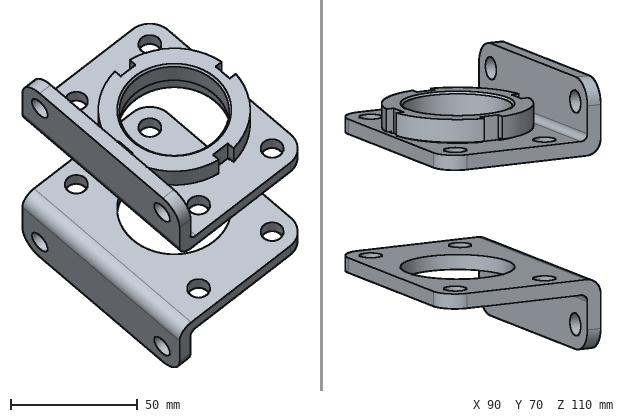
import cadquery as cq

total_height = 110.0
width = 90.0
depth = 70.0
flange_height = 30.0

thickness = 6.0
inner_bend_radius = 2.9
outer_bend_radius = 6.4
corner_radius = 9.8
bolt_diameter = 9.0
bolt_inset = 10.0
plate_bolt_spacing = 40.0
plate_bore_diameter = 45.1
bore_inset = 30.0

nut_diameter = 60.0
nut_bore_diameter = 43.3
nut_height = 10.0
nut_mouth_chamfer = (plate_bore_diameter - nut_bore_diameter) / 2
nut_base_diameter = 55.5
nut_base_height = 0.8
slot_count = 4
slot_width = 8.0
slot_floor_radius = 26.4

back_y = bore_inset
front_y = back_y - depth
flange_top_z = total_height / 2
plate_bottom_z = flange_top_z - flange_height
plate_top_z = plate_bottom_z + thickness
bolt_x = width / 2 - bolt_inset
plate_bolt_back_y = back_y - bolt_inset
plate_bolt_front_y = plate_bolt_back_y - plate_bolt_spacing
flange_bolt_z = flange_top_z - bolt_inset


def bent_sheet():
    """L-shaped sheet: a horizontal plate with an upright flange at its front."""
    plate = cq.Workplane("XY").box(width, depth, thickness, centered=(True, False, False))
    flange = cq.Workplane("XY").box(width, thickness, flange_height, centered=(True, False, False))
    sheet = plate.union(flange).translate((0, front_y, plate_bottom_z))
    inner_corner = cq.NearestToPointSelector((0, front_y + thickness, plate_top_z))
    outer_corner = cq.NearestToPointSelector((0, front_y, plate_bottom_z))
    sheet = sheet.edges("|X").edges(inner_corner).fillet(inner_bend_radius)
    sheet = sheet.edges("|X").edges(outer_corner).fillet(outer_bend_radius)
    sheet = sheet.faces(">Y").edges("|Z").fillet(corner_radius)
    return sheet.faces(">Z").edges("|Y").fillet(corner_radius)


def make_bracket():
    """Upper bracket with its bolt holes and the large bore."""
    plate_bolts = [(x, y) for x in (-bolt_x, bolt_x) for y in (plate_bolt_front_y, plate_bolt_back_y)]
    flange_bolts = [(-bolt_x, flange_bolt_z), (bolt_x, flange_bolt_z)]
    plate_plane = cq.Workplane("XY").workplane(offset=plate_bottom_z)
    plate_holes = plate_plane.pushPoints(plate_bolts).circle(bolt_diameter / 2).extrude(thickness)
    bore = plate_plane.circle(plate_bore_diameter / 2).extrude(thickness)
    flange_plane = cq.Workplane("XZ", origin=(0, front_y, 0))
    flange_holes = flange_plane.pushPoints(flange_bolts).circle(bolt_diameter / 2).extrude(-thickness)
    return bent_sheet().cut(plate_holes).cut(bore).cut(flange_holes)


def make_ring_nut():
    """Ring nut with a stepped-in base, a chamfered bore mouth and spanner slots."""
    bore_radius = nut_bore_diameter / 2
    nut = (
        cq.Workplane("XZ")
        .moveTo(bore_radius, 0)
        .lineTo(nut_base_diameter / 2, 0)
        .lineTo(nut_base_diameter / 2, nut_base_height)
        .lineTo(nut_diameter / 2, nut_base_height)
        .lineTo(nut_diameter / 2, nut_height)
        .lineTo(bore_radius + nut_mouth_chamfer, nut_height)
        .lineTo(bore_radius, nut_height - nut_mouth_chamfer)
        .close()
        .revolve(360, (0, 0, 0), (0, 1, 0))
    )
    slot = (
        cq.Workplane("XY")
        .box(nut_diameter / 2, slot_width, nut_height, centered=(False, True, False))
        .translate((slot_floor_radius, 0, 0))
    )
    for index in range(slot_count):
        nut = nut.cut(slot.rotate((0, 0, 0), (0, 0, 1), index * 360 / slot_count))
    return nut.translate((0, 0, plate_top_z))


upper_bracket = make_bracket()
brackets = [upper_bracket, upper_bracket.mirror("XY")]
ring_nut = make_ring_nut()

bracket_solids = [bracket.solids().val() for bracket in brackets]
result = cq.Compound.makeCompound([*bracket_solids, ring_nut.solids().val()])